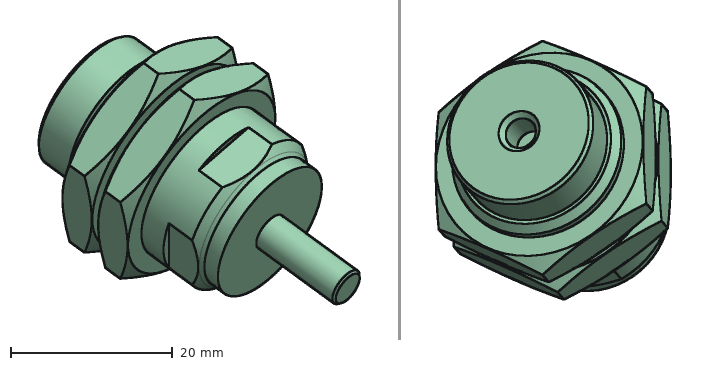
import cadquery as cq
import math

total_length = 43.5

rear_length = 5.9
thread_chamfer_length = 1.05
flats_start = 22.7
front_chamfer_start = 26.62
front_chamfer_end = 27.7
collar_start = 28.2
housing_length = 30.45

rear_diameter = 19.0
rear_chamfer = 0.45
thread_diameter = 22.0
thread_chamfer_diameter = 20.0
front_chamfer_diameter = 19.92
collar_diameter = 19.0

across_wrench_flats = 20.05
flat_count = 4

port_diameter = 3.9
port_mouth_diameter = 5.3
port_depth = 5.2

across_hex_flats = 27.0
hex_sides = 6
hex_chamfer_diameter = 26.9
hex_chamfer_angle = 30.0
hex_width = 5.0
hex_starts = (8.0, 14.0)

rod_diameter = 5.0
rod_chamfer = 0.3


def revolve_about_x(points):
    """Revolve a closed (x, radius) outline about the X axis."""
    return (
        cq.Workplane("XY")
        .polyline(points)
        .close()
        .revolve(360, (0, 0, 0), (1, 0, 0))
    )


def make_turned_housing():
    rear_radius = rear_diameter / 2
    thread_radius = thread_diameter / 2
    collar_radius = collar_diameter / 2
    return revolve_about_x([
        (0, 0),
        (0, rear_radius - rear_chamfer),
        (rear_chamfer, rear_radius),
        (rear_length, rear_radius),
        (rear_length, thread_chamfer_diameter / 2),
        (rear_length + thread_chamfer_length, thread_radius),
        (front_chamfer_start, thread_radius),
        (front_chamfer_end, front_chamfer_diameter / 2),
        (collar_start, collar_radius),
        (housing_length, collar_radius),
        (housing_length, 0),
    ])


def cut_wrench_flats(body):
    flats_length = collar_start - flats_start
    flat_cutter = cq.Workplane("XY").box(
        flats_length, thread_diameter, thread_diameter, centered=(False, True, False)
    ).translate((flats_start, 0, across_wrench_flats / 2))
    for index in range(flat_count):
        angle = index * 360 / flat_count
        body = body.cut(flat_cutter.rotate((0, 0, 0), (1, 0, 0), angle))
    return body


def make_port():
    port_radius = port_diameter / 2
    mouth_radius = port_mouth_diameter / 2
    return revolve_about_x([
        (0, 0),
        (0, mouth_radius),
        (mouth_radius - port_radius, port_radius),
        (port_depth, port_radius),
        (port_depth, 0),
    ])


def make_hex_ring(start):
    """Hexagonal ring with corners at +Z and -Z, both faces chamfered."""
    across_corners = across_hex_flats / math.cos(math.pi / hex_sides)
    corner_radius = across_corners / 2
    face_radius = hex_chamfer_diameter / 2
    chamfer_length = (corner_radius - face_radius) * math.tan(math.radians(hex_chamfer_angle))
    hexagon = (
        cq.Workplane("YZ")
        .polygon(hex_sides, across_corners)
        .extrude(hex_width)
        .rotate((0, 0, 0), (1, 0, 0), 90)
    )
    chamfer_envelope = revolve_about_x([
        (0, 0),
        (0, face_radius),
        (chamfer_length, corner_radius),
        (hex_width - chamfer_length, corner_radius),
        (hex_width, face_radius),
        (hex_width, 0),
    ])
    return hexagon.intersect(chamfer_envelope).translate((start, 0, 0))


def make_housing():
    body = cut_wrench_flats(make_turned_housing())
    for start in hex_starts:
        body = body.union(make_hex_ring(start))
    return body.cut(make_port())


def make_rod():
    """Plain rod standing on the front face of the housing, chamfered at its tip."""
    return (
        cq.Workplane("YZ", origin=(housing_length, 0, 0))
        .circle(rod_diameter / 2)
        .extrude(total_length - housing_length)
        .faces(">X")
        .chamfer(rod_chamfer)
    )


housing = make_housing()
rod = make_rod()

result = cq.Compound.makeCompound([housing.val(), rod.val()])